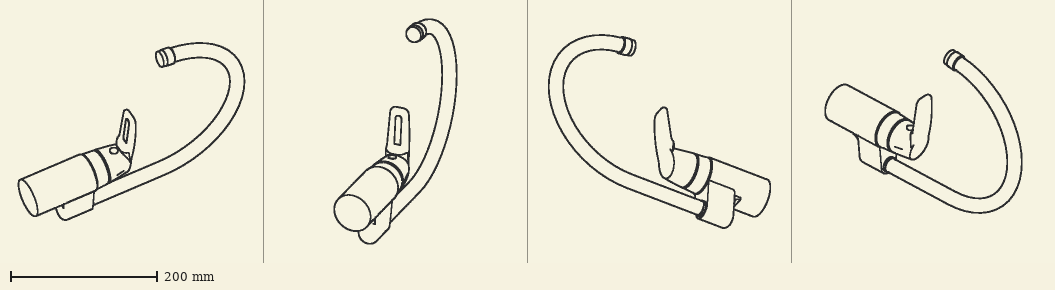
import cadquery as cq
import math


overall_length = 337.0

body_radius = 27.3
body_length = 93.0
shoulder_length = 1.7
neck_radius = 26.3
groove_radius = 25.0
groove_start = 113.3
groove_width = 2.0
groove_depth = 1.0
groove_end = groove_start + groove_width

hub_mid_y = 137.2
hub_mid_half_width = 21.5
hub_mid_half_height = 23.5
hub_end_y = 162.0
hub_end_half_width = 14.0
hub_end_half_height = 22.3
heel_y = 144.0
back_bend_y = 151.7
back_bend_z = 5.5
crest_y = 141.0
crest_z = 24.0
saddle_y = 148.0
saddle_z = 27.0
lever_foot_y = 151.0
lever_back_y = 159.5
lever_mid_z = 41.5
lever_tip_front_y = 156.8
lever_tip_back_y = 161.5
lever_top = 87.3
lever_tip_half_width = 13.0
lever_foot_half_width = 17.5
lever_corner_radius = 8.5
lever_edge_radius = 2.0
lever_base_y = 141.5
inlay_depth = 0.7
inlay_width = 9.0
inlay_bottom = 34.5
inlay_top = 76.5
button_y = 134.2
button_radius = 5.7
button_floor = 23.0

arm_front = 48.5
arm_back = 93.5
arm_top = -10.0
arm_bottom = -72.5
arm_side_bottom = -60.7
arm_top_half_width = 19.2
arm_low_half_width = 14.5
arm_edge_radius = 6.7
web_radius = 10.0

tube_radius = 10.0
spout_z = -58.3
bend_radius = 117.5
bend_y = overall_length - tube_radius - bend_radius
bend_end_angle = 7.0
tube_overlap = 3.5
collar_radius = 11.0
collar_length = 3.0
outlet_radius = 11.8
outlet_tip_radius = 11.0
outlet_length = 18.2
outlet_tip_length = 6.0
outlet_chamfer = 1.0

outer_span = 202.3


def make_body():
    """Turned body with a small shoulder, a tapering neck and a shadow groove."""
    neck_start = body_length + shoulder_length
    inner_radius = groove_radius - groove_depth
    return (
        cq.Workplane("XY")
        .lineTo(body_radius, 0)
        .lineTo(body_radius, body_length)
        .lineTo(neck_radius, neck_start)
        .lineTo(groove_radius, groove_start)
        .lineTo(inner_radius, groove_start)
        .lineTo(inner_radius, groove_end)
        .lineTo(0, groove_end)
        .close()
        .revolve(360, (0, 0, 0), (0, 1, 0))
    )


def handle_side_solid():
    """Side profile of the handle in the YZ plane, extruded across X."""
    return (
        cq.Workplane("YZ")
        .moveTo(groove_end, -body_radius)
        .lineTo(heel_y, -body_radius)
        .lineTo(back_bend_y, back_bend_z)
        .threePointArc((lever_back_y, lever_mid_z), (lever_tip_back_y, lever_top))
        .lineTo(lever_tip_front_y, lever_top)
        .lineTo(lever_foot_y, inlay_bottom)
        .threePointArc((saddle_y, saddle_z), (crest_y, crest_z))
        .lineTo(groove_end, groove_radius)
        .close()
        .extrude(outer_span / 2, both=True)
    )


def make_hub(side_solid):
    """Hub of the handle: elliptical sections narrowing toward the lever."""
    mid_offset = hub_mid_y - groove_end
    end_offset = hub_end_y - hub_mid_y
    hub = (
        cq.Workplane("XZ", origin=(0, groove_end, 0))
        .ellipse(groove_radius, groove_radius)
        .workplane(offset=-mid_offset)
        .ellipse(hub_mid_half_width, hub_mid_half_height)
        .workplane(offset=-end_offset)
        .ellipse(hub_end_half_width, hub_end_half_height)
        .loft()
    )
    button = (
        cq.Workplane("XY", origin=(0, button_y, button_floor))
        .circle(button_radius)
        .extrude(body_radius)
    )
    return hub.intersect(side_solid).cut(button)


def round_rim(blade, near_y, far_y, low_z):
    """Round the sides and tip of one blade face, lying between two depths above a height."""
    margin = 0.5
    zone = cq.selectors.BoxSelector(
        (-outer_span, near_y + margin, low_z),
        (outer_span, far_y + margin, outer_span),
    )
    rim = blade.edges(zone).edges("not |Y").edges("not |X or >Z")
    return rim.fillet(lever_edge_radius)


def make_lever(side_solid):
    """Upright lever blade with rounded tip and a shallow round-ended inlay."""
    blade_outline = (
        cq.Workplane("XZ")
        .moveTo(-lever_foot_half_width, 0)
        .lineTo(lever_foot_half_width, 0)
        .lineTo(lever_tip_half_width, lever_top)
        .lineTo(-lever_tip_half_width, lever_top)
        .close()
        .extrude(-outer_span)
        .edges("|Y and >Z")
        .fillet(lever_corner_radius)
    )
    blade_zone = (
        cq.Workplane("XZ", origin=(0, lever_base_y, 0))
        .rect(outer_span, outer_span)
        .extrude(lever_base_y - outer_span)
    )
    blade = side_solid.intersect(blade_outline).intersect(blade_zone)
    blade = blade.clean()
    blade = round_rim(blade, lever_base_y, lever_tip_front_y, saddle_z)
    blade = round_rim(blade, lever_tip_front_y, hub_end_y, inlay_bottom)
    foot_plan = (
        cq.Workplane("XY")
        .moveTo(-lever_foot_half_width, lever_foot_y)
        .threePointArc((0, crest_y), (lever_foot_half_width, lever_foot_y))
        .lineTo(lever_foot_half_width, hub_end_y)
        .lineTo(-lever_foot_half_width, hub_end_y)
        .close()
        .extrude(outer_span)
    )
    blade = blade.intersect(foot_plan)
    inlay_radius = inlay_width / 2
    slot = (
        cq.Workplane("XZ")
        .moveTo(-inlay_radius, inlay_bottom)
        .lineTo(inlay_radius, inlay_bottom)
        .lineTo(inlay_radius, inlay_top - inlay_radius)
        .threePointArc((0, inlay_top), (-inlay_radius, inlay_top - inlay_radius))
        .close()
        .extrude(-hub_end_y)
    )
    inlay = slot.cut(side_solid.translate((0, inlay_depth, 0)))
    return blade.cut(inlay)


def make_arm():
    """Tapered arm with a full-round underside, hanging below the body."""
    arm = (
        cq.Workplane("XZ", origin=(0, arm_front, 0))
        .moveTo(arm_top_half_width, arm_top)
        .lineTo(arm_low_half_width, arm_side_bottom)
        .threePointArc((0, arm_bottom), (-arm_low_half_width, arm_side_bottom))
        .lineTo(-arm_top_half_width, arm_top)
        .close()
        .extrude(arm_front - arm_back)
    )
    return arm.faces("<Y").edges("not >Z").fillet(arm_edge_radius)


def make_web():
    """Concave web blending the front of the arm into the body."""
    web_half_width = arm_top_half_width - arm_edge_radius
    web_low = -body_radius - web_radius
    web_front = arm_front - web_radius
    bulge = web_radius * math.sqrt(0.5)
    return (
        cq.Workplane("YZ")
        .moveTo(web_front, -body_radius)
        .threePointArc((web_front + bulge, web_low + bulge), (arm_front, web_low))
        .lineTo(arm_front + arm_edge_radius, web_low)
        .lineTo(arm_front + arm_edge_radius, 0)
        .lineTo(web_front, 0)
        .close()
        .extrude(web_half_width, both=True)
    )


def make_spout():
    """Straight tube, round bend and a stepped outlet tangent to the bend."""
    center_z = spout_z + bend_radius
    end_angle = math.radians(bend_end_angle)
    end_y = bend_y + bend_radius * math.sin(end_angle)
    end_z = center_z + bend_radius * math.cos(end_angle)
    path = (
        cq.Workplane("YZ")
        .moveTo(arm_back - tube_overlap, spout_z)
        .lineTo(bend_y, spout_z)
        .threePointArc((bend_y + bend_radius, center_z), (end_y, end_z))
    )
    start = cq.Workplane("XZ", origin=(0, arm_back - tube_overlap, spout_z))
    tube = start.circle(tube_radius).sweep(path)
    collar = start.circle(collar_radius).extrude(-tube_overlap - collar_length)
    outlet_plane = cq.Plane(
        origin=(0, end_y, end_z),
        xDir=(1, 0, 0),
        normal=(0, -math.cos(end_angle), math.sin(end_angle)),
    )
    outlet = (
        cq.Workplane(outlet_plane)
        .circle(outlet_radius)
        .extrude(outlet_length - outlet_tip_length)
        .faces(cq.selectors.NearestToPointSelector((0, end_y, end_z)))
        .chamfer(outlet_chamfer)
    )
    tip = cq.Workplane(outlet_plane).circle(outlet_tip_radius).extrude(outlet_length)
    return tube.union(collar).union(outlet).union(tip)


handle_profile = handle_side_solid()
result = (
    make_body()
    .union(make_hub(handle_profile))
    .union(make_lever(handle_profile))
    .union(make_arm())
    .union(make_web())
    .union(make_spout())
)